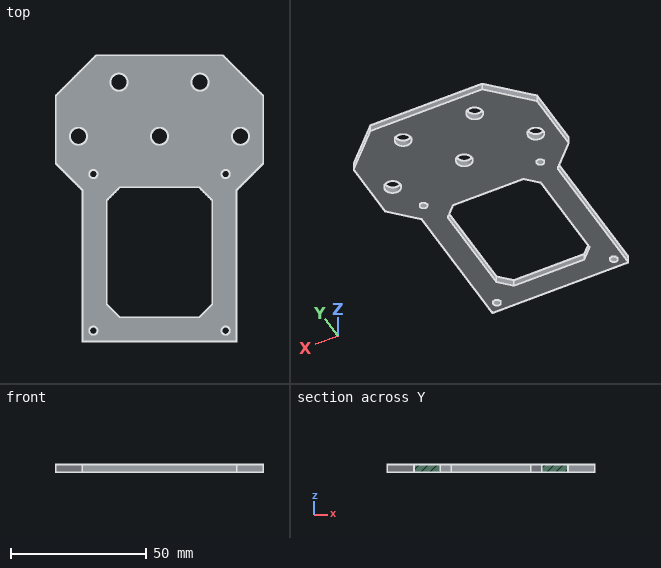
import cadquery as cq

length = 106.0
head_width = 77.0
neck_width = 57.0
thickness = 3.0

head_corner = 15.0
shoulder = (head_width - neck_width) / 2
neck_length = 56.0

window_width = 39.0
window_length = 48.0
window_corner = 4.8
window_margin = 9.0

mount_diameter = 3.0
mount_spacing_x = 49.0
mount_spacing_y = 58.0
mount_margin = 4.0

head_hole_diameter = 6.3
head_hole_pitch = 30.0
back_row_inset = 10.0
front_row_inset = 30.0

back = length / 2
front = -length / 2


def make_plate():
    """Wide head with cut corners, narrowing through sloped shoulders to the neck."""
    half_head = head_width / 2
    half_neck = neck_width / 2
    neck_end = front + neck_length
    right_side = [
        (half_neck, front),
        (half_neck, neck_end),
        (half_head, neck_end + shoulder),
        (half_head, back - head_corner),
        (half_head - head_corner, back),
    ]
    left_side = [(-x, y) for x, y in reversed(right_side)]
    return cq.Workplane("XY").polyline(right_side + left_side).close().extrude(thickness)


def make_window():
    """Cutter for the rectangular window with chamfered corners."""
    center_y = front + window_margin + window_length / 2
    return (
        cq.Workplane("XY")
        .center(0, center_y)
        .rect(window_width, window_length)
        .extrude(thickness)
        .edges("|Z")
        .chamfer(window_corner)
    )


def make_holes(centers, diameter):
    """Cutters for through holes at the given centers."""
    return cq.Workplane("XY").pushPoints(centers).circle(diameter / 2).extrude(thickness)


mount_front = front + mount_margin
mount_centers = [
    (x, y)
    for x in (-mount_spacing_x / 2, mount_spacing_x / 2)
    for y in (mount_front, mount_front + mount_spacing_y)
]

back_row = [(i * head_hole_pitch, back - back_row_inset) for i in (-0.5, 0.5)]
front_row = [(i * head_hole_pitch, back - front_row_inset) for i in (-1, 0, 1)]

result = (
    make_plate()
    .cut(make_window())
    .cut(make_holes(mount_centers, mount_diameter))
    .cut(make_holes(back_row + front_row, head_hole_diameter))
)